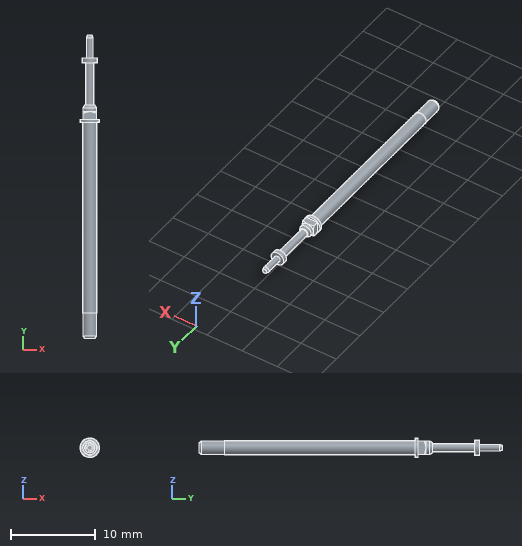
import cadquery as cq
import math

BODY_DIAMETER = 1.66
BODY_LENGTH = 25.5
TAIL_DIAMETER = 1.6
TAIL_LENGTH = 3.0
TAIL_CHAMFER = 0.20
TAIL_CHAMFER_LENGTH = 0.3

FLANGE_DIAMETER = 2.3
FLANGE_THICKNESS = 0.35

SQUARE_SIDE = 1.62
SQUARE_TOP = 1.25
CORNER_RELIEF_ANGLE = 30.0

NECK_DIAMETER = SQUARE_SIDE
NECK_TOP = 1.7
NECK_CHAMFER_TOP = 2.05
NECK_CHAMFER_DIAMETER = 1.2

PLUNGER_DIAMETER = 1.0
COLLAR_DIAMETER = 1.8
COLLAR_BOTTOM = 7.0
COLLAR_THICKNESS = 0.6
TIP_DIAMETER = 0.8
TIP_CHAMFER = 0.12
TIP_CHAMFER_LENGTH = 0.35
TIP_TOP = 10.3

OVERLAP = 0.1


def cylinder(diameter, bottom, top):
    """Cylinder on the pin axis between two Y stations."""
    return cq.Workplane("XZ", origin=(0, bottom, 0)).circle(diameter / 2).extrude(bottom - top)


def revolved(profile):
    """Solid of revolution about the Y axis from (radius, y) points."""
    return cq.Workplane("XY").polyline(profile).close().revolve(360, (0, 0, 0), (0, 1, 0))


def make_body():
    """Long barrel with a slightly thinner, chamfered tail."""
    tail_end = -BODY_LENGTH
    tail_start = tail_end + TAIL_LENGTH
    barrel = cylinder(BODY_DIAMETER, tail_start, OVERLAP)
    tail = cylinder(TAIL_DIAMETER, tail_end, tail_start + OVERLAP)
    tail = tail.faces("<Y").chamfer(TAIL_CHAMFER_LENGTH, TAIL_CHAMFER)
    return barrel.union(tail)


def make_square():
    """Square wrench section whose upper corners are trimmed by a cone."""
    block = (
        cq.Workplane("XZ", origin=(0, FLANGE_THICKNESS - OVERLAP, 0))
        .rect(SQUARE_SIDE, SQUARE_SIDE)
        .extrude(FLANGE_THICKNESS - OVERLAP - SQUARE_TOP)
    )
    flat_radius = SQUARE_SIDE / 2
    rim_radius = FLANGE_DIAMETER / 2
    relief_drop = (rim_radius - flat_radius) * math.tan(math.radians(CORNER_RELIEF_ANGLE))
    envelope = revolved([
        (0, 0),
        (rim_radius, 0),
        (rim_radius, SQUARE_TOP - relief_drop),
        (flat_radius, SQUARE_TOP),
        (0, SQUARE_TOP),
    ])
    return block.intersect(envelope)


def make_neck():
    """Round neck above the square, tapering towards the plunger."""
    return revolved([
        (0, SQUARE_TOP - OVERLAP),
        (NECK_DIAMETER / 2, SQUARE_TOP),
        (NECK_DIAMETER / 2, NECK_TOP),
        (NECK_CHAMFER_DIAMETER / 2, NECK_CHAMFER_TOP),
        (0, NECK_CHAMFER_TOP),
    ])


def make_plunger():
    """Stepped plunger with a collar and a chamfered tip."""
    collar_top = COLLAR_BOTTOM + COLLAR_THICKNESS
    shaft = cylinder(PLUNGER_DIAMETER, NECK_TOP, COLLAR_BOTTOM + OVERLAP)
    collar = cylinder(COLLAR_DIAMETER, COLLAR_BOTTOM, collar_top)
    tip = cylinder(TIP_DIAMETER, collar_top - OVERLAP, TIP_TOP)
    tip = tip.faces(">Y").chamfer(TIP_CHAMFER_LENGTH, TIP_CHAMFER)
    return shaft.union(collar).union(tip)


flange = cylinder(FLANGE_DIAMETER, 0, FLANGE_THICKNESS)
result = make_body().union(flange).union(make_square()).union(make_neck()).union(make_plunger())